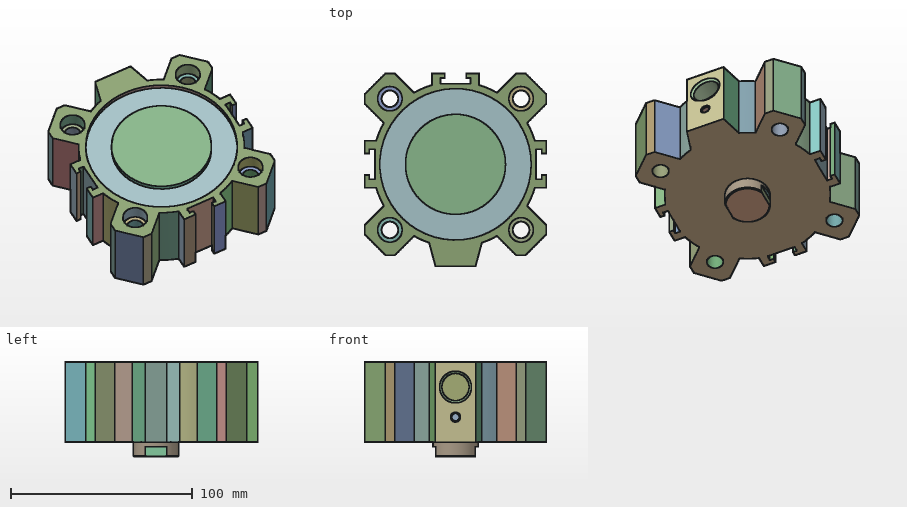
import cadquery as cq
import math

housing_height = 44.0
square_size = 100.0
overall_length = 106.0
barrel_diameter = 91.1

lug_width = 23.5
lug_reach = 62.5
bolt_offset = 36.0
bolt_diameter = 9.0
counterbore_diameter = 13.5
counterbore_depth = 8.5

rail_width = 26.0
slot_opening = 11.7
slot_width = 16.3
slot_lip = 2.6
slot_depth = 5.6

block_face_width = 22.2
block_root_width = 29.0

port_diameter = 14.9
port_height = 30.2
port_depth = 11.7
port_chamfer = 1.3
pilot_diameter = 4.1
pilot_height = 13.7
pilot_depth = 11.7
pilot_chamfer = 0.6

recess_diameter = 83.2
recess_depth = 2.5
boss_diameter = 55.0

rod_diameter = 25.0
rod_reach = 8.1
rod_seat_depth = 26.5
rod_chamfer = 0.5
rod_collar = 2.6
across_flats = 21.9

half_square = square_size / 2
barrel_radius = barrel_diameter / 2
recess_floor = housing_height - recess_depth
port_face_y = half_square - overall_length


def make_lugs():
    """Four diagonal lugs, their corners trimmed by the square envelope."""
    lugs = cq.Workplane("XY").rect(2 * lug_reach, lug_width).extrude(housing_height)
    lugs = lugs.union(lugs.rotate((0, 0, 0), (0, 0, 1), 90))
    envelope = cq.Workplane("XY").rect(square_size, square_size).extrude(housing_height)
    return lugs.rotate((0, 0, 0), (0, 0, 1), 45).intersect(envelope)


def make_rail():
    """Solid rail on the +X side, from the bore axis to the square envelope."""
    return (
        cq.Workplane("XY")
        .center(half_square / 2, 0)
        .rect(half_square, rail_width)
        .extrude(housing_height)
    )


def make_slot():
    """T-slot space of the +X rail."""
    mouth = (
        cq.Workplane("XY")
        .center(half_square - slot_depth / 2, 0)
        .rect(slot_depth, slot_opening)
        .extrude(housing_height)
    )
    groove_depth = slot_depth - slot_lip
    groove = (
        cq.Workplane("XY")
        .center(half_square - slot_depth + groove_depth / 2, 0)
        .rect(groove_depth, slot_width)
        .extrude(housing_height)
    )
    return mouth.union(groove)


def make_port_block():
    """Tapered block on the -Y side, its root corners lying on the barrel."""
    half_face = block_face_width / 2
    half_root = block_root_width / 2
    root_y = -math.sqrt(barrel_radius ** 2 - half_root ** 2)
    outline = [
        (-half_face, port_face_y),
        (half_face, port_face_y),
        (half_root, root_y),
        (-half_root, root_y),
    ]
    return cq.Workplane("XY").polyline(outline).close().extrude(housing_height)


def make_port_hole(diameter, depth, chamfer, height):
    """Blind hole along +Y from the port face, with a 45 degree chamfered mouth."""
    radius = diameter / 2
    half_section = [
        (0, 0),
        (radius + chamfer, 0),
        (radius, chamfer),
        (radius, depth),
        (0, depth),
    ]
    hole = cq.Workplane("XY").polyline(half_section).close().revolve(360, (0, 0), (0, 1))
    return hole.translate((0, port_face_y, height))


def make_bolt_holes():
    """Four counterbored through holes, one in each lug."""
    centres = cq.Workplane("XY").rect(2 * bolt_offset, 2 * bolt_offset, forConstruction=True).vertices()
    through = centres.circle(bolt_diameter / 2).extrude(housing_height)
    counterbores = (
        cq.Workplane("XY", origin=(0, 0, housing_height - counterbore_depth))
        .rect(2 * bolt_offset, 2 * bolt_offset, forConstruction=True)
        .vertices()
        .circle(counterbore_diameter / 2)
        .extrude(counterbore_depth)
    )
    return through.union(counterbores)


def make_top_recess():
    """Round recess in the top face, leaving a central boss level with that face."""
    recess_floor_plane = cq.Workplane("XY", origin=(0, 0, recess_floor))
    return recess_floor_plane.circle(recess_diameter / 2).circle(boss_diameter / 2).extrude(recess_depth)


def make_housing():
    body = cq.Workplane("XY").circle(barrel_radius).extrude(housing_height)
    body = body.union(make_lugs()).union(make_port_block())
    rail_angles = (0, 90, 180)
    for angle in rail_angles:
        body = body.union(make_rail().rotate((0, 0, 0), (0, 0, 1), angle))
    for angle in rail_angles:
        body = body.cut(make_slot().rotate((0, 0, 0), (0, 0, 1), angle))

    body = body.cut(make_bolt_holes()).cut(make_top_recess())
    body = body.cut(make_port_hole(port_diameter, port_depth, port_chamfer, port_height))
    body = body.cut(make_port_hole(pilot_diameter, pilot_depth, pilot_chamfer, pilot_height))

    rod_seat = cq.Workplane("XY").circle(rod_diameter / 2).extrude(rod_seat_depth)
    return body.cut(rod_seat)


def make_rod():
    """Round rod with a chamfered lower end and two wrench flats facing -X and +X."""
    rod = (
        cq.Workplane("XY", origin=(0, 0, -rod_reach))
        .circle(rod_diameter / 2)
        .extrude(rod_reach + rod_seat_depth)
        .faces("<Z")
        .chamfer(rod_chamfer)
    )
    flat_length = rod_reach - rod_collar
    flats_zone = (
        cq.Workplane("XY", origin=(0, 0, -rod_reach))
        .rect(2 * rod_diameter, 2 * rod_diameter)
        .rect(across_flats, 2 * rod_diameter)
        .extrude(flat_length)
    )
    return rod.cut(flats_zone)


housing = make_housing()
rod = make_rod()

result = cq.Compound.makeCompound([housing.val(), rod.val()])